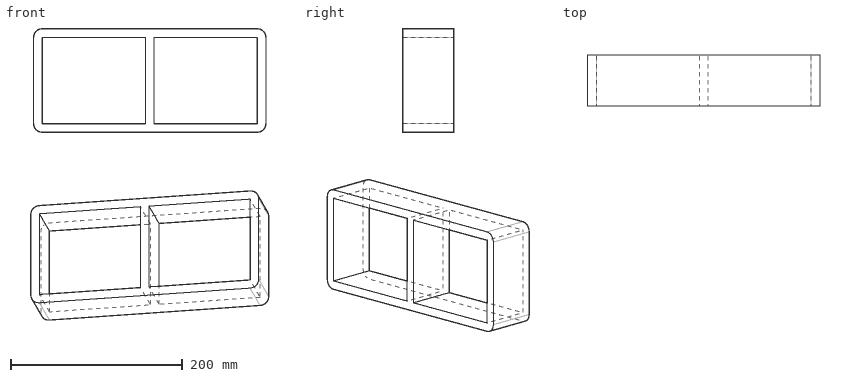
import cadquery as cq

length = 271.0
depth = 60.0
height = 121.0

wall = 10.3
corner_radius = 10.3

opening_length = (length - 3 * wall) / 2
opening_height = height - 2 * wall
opening_spacing = opening_length + wall

frame = cq.Workplane("XY").box(length, depth, height).edges("|Y").fillet(corner_radius)

openings = (
    cq.Workplane("XY")
    .rarray(opening_spacing, 2.7, 2, 1)
    .box(opening_length, depth, opening_height)
)

result = frame.cut(openings)